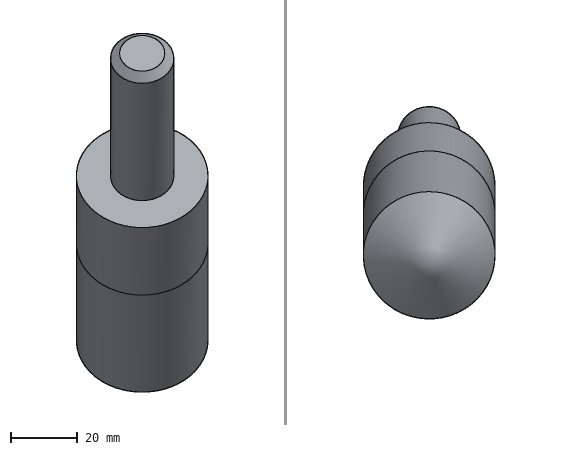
import cadquery as cq

total_height = 152.4
body_diameter = 39.6
shank_diameter = 19.0

cone_height = 11.9
joint_height = 59.5
shoulder_height = 92.5

bevel_width = 2.7
bevel_height = 2.5

body_radius = body_diameter / 2
shank_radius = shank_diameter / 2


def make_pointed_tip():
    """Lower cylinder with a conical point, ending at the flat joint face."""
    half_profile = (
        cq.Workplane("XZ")
        .moveTo(0, 0)
        .lineTo(body_radius, cone_height)
        .lineTo(body_radius, joint_height)
        .lineTo(0, joint_height)
        .close()
    )
    return half_profile.revolve(360, (0, 0), (0, 1))


def make_shank_holder():
    """Upper cylinder and its bevelled shank, resting on the joint face."""
    half_profile = (
        cq.Workplane("XZ")
        .moveTo(0, joint_height)
        .lineTo(body_radius, joint_height)
        .lineTo(body_radius, shoulder_height)
        .lineTo(shank_radius, shoulder_height)
        .lineTo(shank_radius, total_height - bevel_height)
        .lineTo(shank_radius - bevel_width, total_height)
        .lineTo(0, total_height)
        .close()
    )
    return half_profile.revolve(360, (0, 0), (0, 1))


pointed_tip = make_pointed_tip()
shank_holder = make_shank_holder()

result = cq.Compound.makeCompound([pointed_tip.val(), shank_holder.val()])